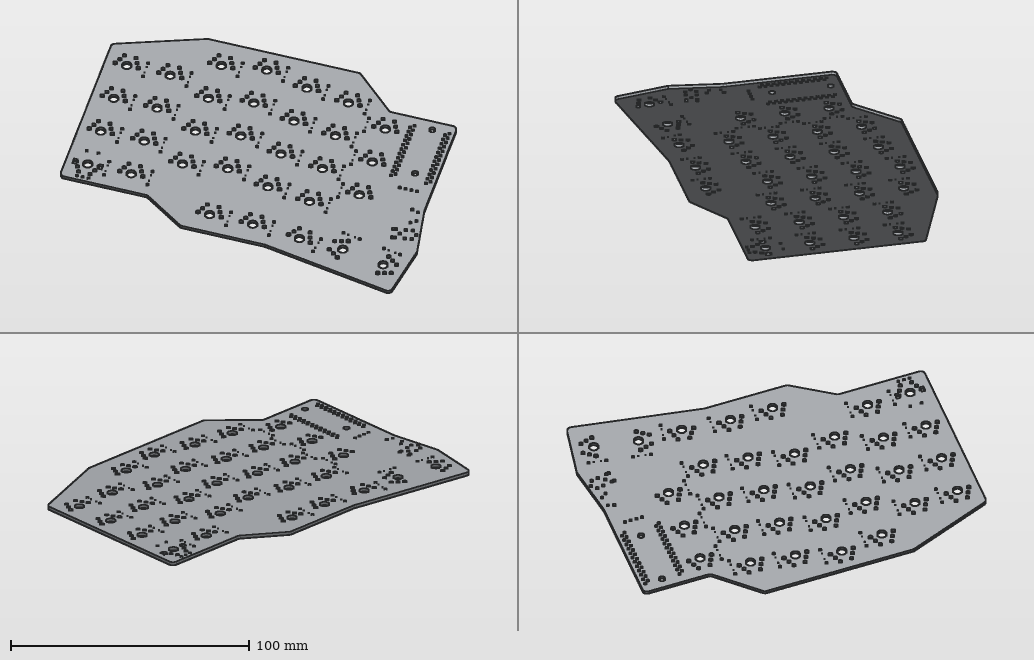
import cadquery as cq
import math

BOARD_WIDTH = 155.8
BOARD_TOP = 112.7
BOARD_THICKNESS = 1.5
CORNER_RADIUS = 2.0
TILT = 10.0

LOWER_LEFT_Y = 22.1
UPPER_LEFT_Y = 98.5
TOP_EDGE_START_X = 37.9
TOP_EDGE_END_X = 104.5
SHOULDER_X = 122.6
SHOULDER_Y = 95.7
RIGHT_EDGE_X = 152.3
RIGHT_EDGE_BOTTOM_Y = 47.0
TIP_Y = 24.3
LEFT_STEP_X = 38.3
BOTTOM_EDGE_START_X = 56.5
BOTTOM_EDGE_END_X = 93.5

SWITCH_POST_HOLE = 4.0
SWITCH_PEG_HOLE = 1.7
SWITCH_PIN_HOLE = 1.5
DIODE_LEAD_HOLE = 1.1
VIA_HOLE = 0.3
HEADER_HOLE = 1.1
MOUNTING_HOLE = 2.6
ENCODER_PIN_HOLE = 1.0
JACK_HOLE = 1.3
RESET_HOLE = 1.1
LARGE_PAD_HOLE = 1.3
SMALL_PAD_HOLE = 1.0

PIN_GRID = 2.54
COLUMN_PITCH = 19.0
ROW_PITCH = 7.5 * PIN_GRID
FIRST_COLUMN_X = 9.5
COLUMN_BOTTOMS = [31.6, 31.6, 43.0, 46.0, 41.1, 38.3, 47.8]
COLUMN_COUNTS = [4, 4, 4, 4, 4, 4, 3]
THUMB_KEYS = [
    (66.5, 19.3, 0, 1),
    (85.4, 19.3, 0, 1),
    (106.5, 17.3, -TILT, 1),
    (125.6, 16.8, 90 - TILT, 1),
    (144.3, 13.4, -90 - TILT, -1),
]

DIODE_OFFSET = 8.3
DIODE_LEAD_REACH = 1.5 * PIN_GRID
VIA_REACH = 1.5

ENCODER_PIN_SPACING = PIN_GRID
ENCODER_SWITCH_PIN_Y = 7.0
ENCODER_SIGNAL_PIN_Y = -7.5
ENCODER_TAB_OFFSET = 5.6
ENCODER_TAB_WIDTH = 1.5
ENCODER_TAB_LENGTH = 2.5

HEADER_PIN_COUNT = 12
HEADER_LEFT_X = 133.2
HEADER_RIGHT_X = 148.5
HEADER_TOP_Y = 89.9
STAGGER_X = 1.5
STAGGER_Y = PIN_GRID / 2
MOUNTING_X = 142.6
MOUNTING_YS = (65.9, 91.2)

DISPLAY_PIN_COUNT = 4
DISPLAY_FIRST_X = 138.7
DISPLAY_Y = 56.5

JACK_X = 146.0
JACK_Y = 32.0
JACK_PEG_SPACING = 7.0
JACK_PIN_PLACES = (-3.0, -1.9, 2.3, 5.3)
JACK_PIN_REACH = 2.3

RESET_PINS = [(148.5, 39.1), (150.7, 40.7)]
LARGE_PAD = (147.3, 46.3)
SMALL_PAD = (149.9, 45.5)


def placed(points, x, y, turn=0):
    """Local points turned by an angle in degrees and moved to (x, y)."""
    c = math.cos(math.radians(turn))
    s = math.sin(math.radians(turn))
    return [(x + px * c - py * s, y + px * s + py * c) for px, py in points]


def side_pair(x, y):
    """Two points mirrored left and right."""
    return [(-x, y), (x, y)]


def height_pair(x, y):
    """Two points mirrored up and down."""
    return [(x, -y), (x, y)]


def thumb_corner():
    """Square lower right corner, set so that its rounding just touches Y = 0."""
    tilt = math.radians(TILT)
    y = CORNER_RADIUS * (1 - math.cos(tilt) - math.sin(tilt))
    return (BOARD_WIDTH - (TIP_Y - y) * math.tan(tilt), y)


def board_blank(holes):
    """Plate with the given holes, as (diameter, points) pairs; all corners but the tip are rounded."""
    corner_x, corner_y = thumb_corner()
    bottom_y = corner_y + (corner_x - BOTTOM_EDGE_END_X) * math.tan(math.radians(TILT))
    outline = [
        (0, LOWER_LEFT_Y),
        (LEFT_STEP_X, LOWER_LEFT_Y),
        (BOTTOM_EDGE_START_X, bottom_y),
        (BOTTOM_EDGE_END_X, bottom_y),
        (corner_x, corner_y),
        (BOARD_WIDTH, TIP_Y),
        (RIGHT_EDGE_X, RIGHT_EDGE_BOTTOM_Y),
        (RIGHT_EDGE_X, SHOULDER_Y),
        (SHOULDER_X, SHOULDER_Y),
        (TOP_EDGE_END_X, BOARD_TOP),
        (TOP_EDGE_START_X, BOARD_TOP),
        (0, UPPER_LEFT_Y),
    ]
    blank = cq.Workplane("XY").polyline(outline).close().extrude(BOARD_THICKNESS)
    blank = blank.edges("|Z and (not >X)").fillet(CORNER_RADIUS)
    plate = blank.faces("<Z").wires().toPending()
    for diameter, points in holes:
        plate = plate.pushPoints(points).circle(diameter / 2)
    return plate.extrude(BOARD_THICKNESS, combine=False)


def key_places():
    """X, Y, turn and diode side of every key; the lower left one comes first."""
    keys = []
    last_column = len(COLUMN_BOTTOMS) - 1
    for column, (bottom_y, count) in enumerate(zip(COLUMN_BOTTOMS, COLUMN_COUNTS)):
        x = FIRST_COLUMN_X + column * COLUMN_PITCH
        diode_side = -1 if column == last_column else 1
        for row in range(count):
            keys.append((x, bottom_y + row * ROW_PITCH, 0, diode_side))
    x, y = keys[0][:2]
    keys[0] = (x, y, 180, -1)
    return keys + THUMB_KEYS


def key_holes(x, y, turn, diode_side):
    """Switch holes of one key and the holes of its diode."""
    diode_x = diode_side * DIODE_OFFSET
    pegs = side_pair(2 * PIN_GRID, 0)
    pins = side_pair(1.5 * PIN_GRID, PIN_GRID) + side_pair(PIN_GRID, 2 * PIN_GRID)
    groups = [
        (SWITCH_POST_HOLE, [(0, 0)]),
        (SWITCH_PEG_HOLE, pegs),
        (SWITCH_PIN_HOLE, pins),
        (DIODE_LEAD_HOLE, height_pair(diode_x, DIODE_LEAD_REACH)),
        (VIA_HOLE, height_pair(diode_x, VIA_REACH)),
    ]
    return [(diameter, placed(points, x, y, turn)) for diameter, points in groups]


def encoder_pins(x, y):
    pins = [(i * ENCODER_PIN_SPACING, ENCODER_SIGNAL_PIN_Y) for i in (-1, 0, 1)]
    pins += side_pair(ENCODER_PIN_SPACING, ENCODER_SWITCH_PIN_Y)
    return placed(pins, x, y)


def header_pins():
    pins = []
    for x in (HEADER_LEFT_X, HEADER_RIGHT_X):
        for i in range(HEADER_PIN_COUNT):
            y = HEADER_TOP_Y - i * PIN_GRID
            pins += [(x, y), (x + STAGGER_X, y + STAGGER_Y)]
    return pins


def display_pins():
    return [(DISPLAY_FIRST_X + i * PIN_GRID, DISPLAY_Y) for i in range(DISPLAY_PIN_COUNT)]


def jack_holes():
    holes = [(0, 0), (JACK_PEG_SPACING, 0)]
    for along in JACK_PIN_PLACES:
        holes += height_pair(along, JACK_PIN_REACH)
    return placed(holes, JACK_X, JACK_Y, TILT)


keys = key_places()
encoder_x, encoder_y = keys[0][:2]

separate_holes = [
    (ENCODER_PIN_HOLE, encoder_pins(encoder_x, encoder_y)),
    (HEADER_HOLE, header_pins() + display_pins()),
    (MOUNTING_HOLE, [(MOUNTING_X, y) for y in MOUNTING_YS]),
    (RESET_HOLE, RESET_PINS),
    (LARGE_PAD_HOLE, [LARGE_PAD]),
    (SMALL_PAD_HOLE, [SMALL_PAD]),
]
for key in keys:
    separate_holes += key_holes(*key)
board = board_blank(separate_holes)

tab_slots = (
    cq.Workplane("XY")
    .pushPoints(placed(side_pair(ENCODER_TAB_OFFSET, 0), encoder_x, encoder_y))
    .rect(ENCODER_TAB_WIDTH, ENCODER_TAB_LENGTH)
    .extrude(BOARD_THICKNESS)
)
board = board.cut(tab_slots)

for x, y in jack_holes():
    jack_hole = cq.Workplane("XY").center(x, y).circle(JACK_HOLE / 2).extrude(BOARD_THICKNESS)
    board = board.cut(jack_hole)

result = board.solids()